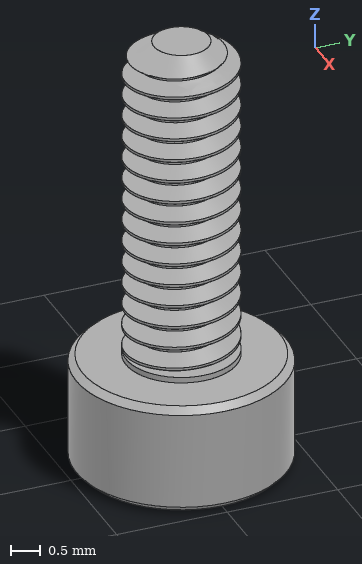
import cadquery as cq
import math

total_length = 8.0
head_radius = 3.8 / 2
head_height = 2.0
head_chamfer = 0.12
thread_radius = 1.0
collar_height = 0.1
tip_radius = 0.5
tip_height = 0.36

pitch = 0.4
root_radius = 0.73
crest_flat = pitch / 8
flank_half_angle = math.radians(30)
root_height_at_x_axis = 0.09
cutter_overlap = 0.02
rod_allowance = 2.4

thread_start = head_height + collar_height


def make_head():
    """Chamfered cylindrical head with the plain collar under the thread."""
    head = cq.Workplane("XY").circle(head_radius).extrude(head_height).edges().chamfer(head_chamfer)
    return head.faces(">Z").workplane().circle(thread_radius).extrude(collar_height)


def make_shank():
    """Unthreaded shank above the collar, ending in a flat conical tip."""
    outline = (
        cq.Workplane("XZ")
        .moveTo(0, thread_start)
        .lineTo(thread_radius, thread_start)
        .lineTo(thread_radius, total_length - tip_height)
        .lineTo(tip_radius, total_length)
        .lineTo(0, total_length)
        .close()
    )
    return outline.revolve(360, (0, 0, 0), (0, 1, 0))


def make_groove():
    """Helical thread groove, running past both ends of the shank."""
    first_turn = math.floor(thread_start / pitch) - 1
    last_turn = math.ceil(total_length / pitch)
    start_height = first_turn * pitch + root_height_at_x_axis

    outer_radius = thread_radius + cutter_overlap
    flank_slope = math.tan(flank_half_angle)
    half_crest_gap = (pitch - crest_flat) / 2
    half_outer = half_crest_gap + cutter_overlap * flank_slope
    half_root = half_crest_gap - (thread_radius - root_radius) * flank_slope

    path = cq.Wire.makeHelix(pitch, (last_turn - first_turn) * pitch, root_radius)
    profile = cq.Workplane("ZX").polyline([
        (-half_root, root_radius),
        (-half_outer, outer_radius),
        (half_outer, outer_radius),
        (half_root, root_radius),
    ]).close()
    return profile.sweep(cq.Workplane(path), isFrenet=True).translate((0, 0, start_height))


rod = cq.Workplane("XY").circle(thread_radius).extrude(total_length + rod_allowance)
threaded_shank = rod.cut(make_groove()).intersect(make_shank())
result = make_head().union(threaded_shank)